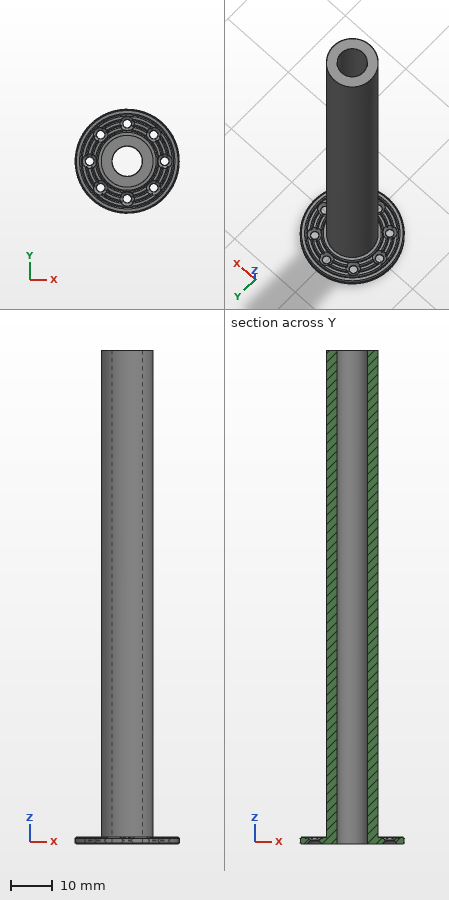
import cadquery as cq

total_height = 118.8
flange_diameter = 25.0
flange_thickness = 1.7
rim_chamfer = 0.3

tube_diameter = 12.5
bore_diameter = 7.2

hole_count = 8
hole_diameter = 2.0
hole_circle_radius = 9.0
countersink_depth = 0.75

groove_count = 4
inner_groove_diameter = 14.6
outer_groove_diameter = 22.3
groove_depth = 0.32
groove_pitch = (outer_groove_diameter - inner_groove_diameter) / 2 / (groove_count - 1)


def make_flange():
    """Disc with chamfered rim edges, resting on the XY plane."""
    disc = cq.Workplane("XY").circle(flange_diameter / 2).extrude(flange_thickness)
    return disc.edges().chamfer(rim_chamfer)


def make_groove(mean_radius):
    """Ring with a V section removed by one groove."""
    return (
        cq.Workplane("XZ")
        .moveTo(mean_radius - groove_depth, flange_thickness)
        .lineTo(mean_radius, flange_thickness - groove_depth)
        .lineTo(mean_radius + groove_depth, flange_thickness)
        .close()
        .revolve(360, (0, 0), (0, 1))
    )


def make_fixing_holes():
    """Revolved double-countersunk cutters, one at each place on the hole circle."""
    hole_radius = hole_diameter / 2
    mouth_radius = hole_radius + countersink_depth
    hole = (
        cq.Workplane("XZ")
        .lineTo(mouth_radius, 0)
        .lineTo(hole_radius, countersink_depth)
        .lineTo(hole_radius, flange_thickness - countersink_depth)
        .lineTo(mouth_radius, flange_thickness)
        .lineTo(0, flange_thickness)
        .close()
        .revolve(360, (0, 0), (0, 1))
        .val()
    )
    return (
        cq.Workplane("XY")
        .polarArray(hole_circle_radius, 0, 360, hole_count)
        .eachpoint(lambda place: hole.moved(place))
    )


tube = cq.Workplane("XY").circle(tube_diameter / 2).extrude(total_height)
bore = cq.Workplane("XY").circle(bore_diameter / 2).extrude(total_height)

result = make_flange()
for index in range(groove_count):
    result = result.cut(make_groove(inner_groove_diameter / 2 + index * groove_pitch))
result = result.cut(make_fixing_holes()).union(tube).cut(bore)